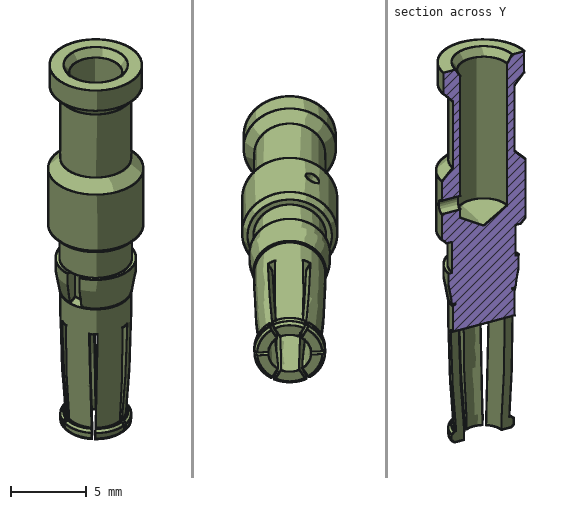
import cadquery as cq
import math

LENGTH = 28.25

RIM_RADIUS = 3.05
RIM_BOTTOM_Z = 26.65
NECK_RADIUS = 2.35
NECK_TOP_Z = 25.88
NECK_BOTTOM_Z = 20.88

BARREL_DIAMETER = 6.3
BARREL_RADIUS = BARREL_DIAMETER / 2
BARREL_TOP_Z = 20.05
BARREL_BOTTOM_Z = 15.62
BARREL_CHAMFER = 0.37

SHANK_RADIUS = 2.4
GROOVE_TOP_Z = 12.97
GROOVE_BOTTOM_Z = 10.42
GROOVE_FLOOR_Z = 10.68
GROOVE_RADIUS = 1.8

RING_RADIUS = 2.65
RING_TAPER_TOP_Z = 12.03
RING_BOTTOM_RADIUS = 2.4
RING_BOTTOM_Z = 10.55
RING_GAP = 0.93

COLLAR_RADIUS = NECK_RADIUS
FINGER_COUNT = 6
FINGER_TOP_Z = 8.45
FINGER_BEND_Z = 4.27
FINGER_BEND_RADIUS = 2.23
FINGER_TIP_RADIUS = 2.0
FINGER_THICKNESS = 0.6
SLOT_TOP_WIDTH = 0.56
SLOT_TIP_WIDTH = 0.23

BEAD_RADIUS = COLLAR_RADIUS
BEAD_TOP_Z = 0.82
BEAD_CHAMFER = 0.2

BORE_RADIUS = 1.75
BORE_MOUTH_RADIUS = 2.12
BORE_MOUTH_DEPTH = 0.6
BORE_BOTTOM_Z = 16.95
DRILL_POINT_ANGLE = 118.0

INSPECTION_DIAMETER = 1.0
INSPECTION_Z = 18.08


def revolve_profile(points):
    """Revolve a closed (radius, z) outline around the Z axis."""
    return cq.Workplane("XZ").polyline(points).close().revolve(360, (0, 0), (0, 1))


def make_body():
    """Turned outside, from the finger tips up to the rim."""
    return revolve_profile([
        (0, 0),
        (BEAD_RADIUS - BEAD_CHAMFER, 0),
        (BEAD_RADIUS, BEAD_CHAMFER),
        (BEAD_RADIUS, BEAD_TOP_Z - BEAD_CHAMFER),
        (BEAD_RADIUS - BEAD_CHAMFER, BEAD_TOP_Z),
        (FINGER_TIP_RADIUS, BEAD_TOP_Z),
        (FINGER_BEND_RADIUS, FINGER_BEND_Z),
        (COLLAR_RADIUS, FINGER_TOP_Z),
        (COLLAR_RADIUS, GROOVE_BOTTOM_Z),
        (GROOVE_RADIUS, GROOVE_FLOOR_Z),
        (GROOVE_RADIUS, GROOVE_TOP_Z),
        (SHANK_RADIUS, GROOVE_TOP_Z),
        (SHANK_RADIUS, BARREL_BOTTOM_Z - BARREL_CHAMFER),
        (BARREL_RADIUS - BARREL_CHAMFER, BARREL_BOTTOM_Z - BARREL_CHAMFER),
        (BARREL_RADIUS, BARREL_BOTTOM_Z),
        (BARREL_RADIUS, BARREL_TOP_Z),
        (NECK_RADIUS, NECK_BOTTOM_Z),
        (NECK_RADIUS, NECK_TOP_Z),
        (RIM_RADIUS, RIM_BOTTOM_Z),
        (RIM_RADIUS, LENGTH),
        (0, LENGTH),
    ])


def make_retaining_ring():
    """Tapered ring filling the groove, open at the -Y gap.

    Its inner lower corner is sunk in the sloping groove floor.
    """
    ring = revolve_profile([
        (GROOVE_RADIUS, RING_BOTTOM_Z),
        (RING_BOTTOM_RADIUS, RING_BOTTOM_Z),
        (RING_RADIUS, RING_TAPER_TOP_Z),
        (RING_RADIUS, GROOVE_TOP_Z),
        (GROOVE_RADIUS, GROOVE_TOP_Z),
    ])
    gap = cq.Workplane("XY").box(RING_GAP, RING_RADIUS, LENGTH, centered=(True, False, False))
    return ring.cut(gap.translate((0, -RING_RADIUS, 0)))


def make_wire_bore():
    """Blind bore with a countersunk mouth and a conical drill point."""
    point_depth = BORE_RADIUS / math.tan(math.radians(DRILL_POINT_ANGLE / 2))
    return revolve_profile([
        (0, BORE_BOTTOM_Z - point_depth),
        (BORE_RADIUS, BORE_BOTTOM_Z),
        (BORE_RADIUS, LENGTH - BORE_MOUTH_DEPTH),
        (BORE_MOUTH_RADIUS, LENGTH),
        (0, LENGTH),
    ])


def make_inspection_hole():
    """Radial hole from the -X side into the wire bore."""
    hole = cq.Workplane("YZ").center(0, INSPECTION_Z).circle(INSPECTION_DIAMETER / 2)
    return hole.extrude(-BARREL_RADIUS)


def make_socket():
    """Bore between the fingers, keeping their walls evenly thick."""
    return revolve_profile([
        (0, 0),
        (FINGER_TIP_RADIUS - FINGER_THICKNESS, 0),
        (FINGER_TIP_RADIUS - FINGER_THICKNESS, BEAD_TOP_Z),
        (FINGER_BEND_RADIUS - FINGER_THICKNESS, FINGER_BEND_Z),
        (COLLAR_RADIUS - FINGER_THICKNESS, FINGER_TOP_Z),
        (0, FINGER_TOP_Z),
    ])


def make_finger_slots():
    """Radial slots between the fingers, narrowing toward the tips."""
    slot = (
        cq.Workplane("YZ")
        .polyline([
            (-SLOT_TIP_WIDTH / 2, 0),
            (SLOT_TIP_WIDTH / 2, 0),
            (SLOT_TOP_WIDTH / 2, FINGER_TOP_Z),
            (-SLOT_TOP_WIDTH / 2, FINGER_TOP_Z),
        ])
        .close()
        .extrude(BARREL_RADIUS)
    )
    slots = slot
    for index in range(1, FINGER_COUNT):
        slots = slots.union(slot.rotate((0, 0, 0), (0, 0, 1), index * 360 / FINGER_COUNT))
    return slots


result = (
    make_body()
    .union(make_retaining_ring())
    .cut(make_wire_bore())
    .cut(make_inspection_hole())
    .cut(make_socket())
    .cut(make_finger_slots())
)